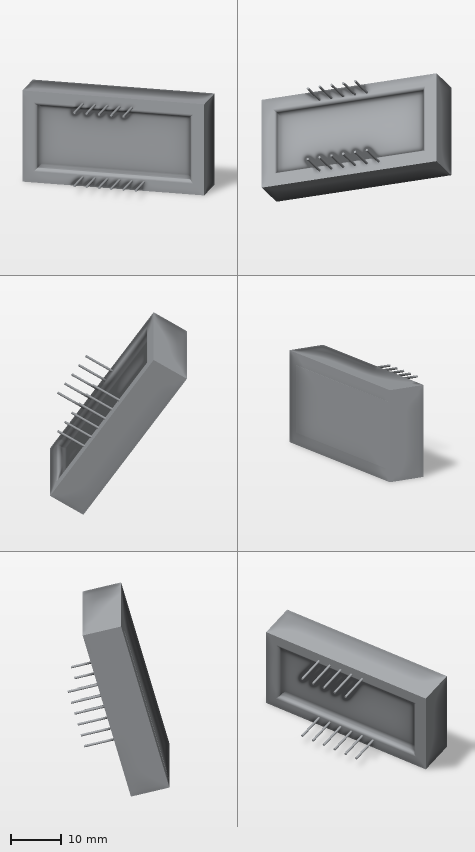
import cadquery as cq
import math

length = 37.6
height = 19.0
overall_depth = 14.35

plate_length = 34.45
plate_height = 13.9
plate_thickness = 0.055
plate_center_x = -0.95

recess_margin = 2.3
recess_depth = 1.5
rim_radius = 0.68

pin_diameter = 0.5
pin_length = 6.35
pin_row_span = 12.7
pin_row_height = 7.65
lower_pin_count = 6
upper_pin_count = 5

body_depth = overall_depth - pin_length - plate_thickness
recess_length = length - 2 * recess_margin
recess_height = height - 2 * recess_margin
pin_pitch = pin_row_span / (lower_pin_count - 1)
first_pin_x = -pin_row_span / 2


def recess_profile(plane, opening_width, extrusion):
    """Solid with the recess cross-section, extruded equally to both sides of the plane."""
    half_opening = opening_width / 2
    half_middle = half_opening - rim_radius
    half_floor = half_middle - rim_radius
    bend = rim_radius * math.sin(math.radians(45))
    outer_bend_depth = rim_radius - bend
    wall_end_depth = recess_depth - rim_radius
    inner_bend_depth = wall_end_depth + bend
    return (
        cq.Workplane(plane)
        .moveTo(-half_opening, 0)
        .threePointArc((-half_opening + bend, outer_bend_depth), (-half_middle, rim_radius))
        .lineTo(-half_middle, wall_end_depth)
        .threePointArc((-half_floor - bend, inner_bend_depth), (-half_floor, recess_depth))
        .lineTo(half_floor, recess_depth)
        .threePointArc((half_floor + bend, inner_bend_depth), (half_middle, wall_end_depth))
        .lineTo(half_middle, rim_radius)
        .threePointArc((half_opening - bend, outer_bend_depth), (half_opening, 0))
        .close()
        .extrude(extrusion / 2, both=True)
    )


def make_recess():
    """Pocket cutter; intersecting the two cross-sections gives mitred corners all around the rim."""
    across_length = recess_profile(cq.Plane.XY(), recess_length, height)
    across_height = recess_profile(
        cq.Plane(origin=(0, 0, 0), xDir=(0, 0, 1), normal=(-1, 0, 0)), recess_height, length
    )
    return across_length.intersect(across_height)


def make_pins(count, row_z):
    """Row of round pins pointing toward -Y from the recessed face."""
    positions = [(first_pin_x + i * pin_pitch, row_z) for i in range(count)]
    return cq.Workplane("XZ").pushPoints(positions).circle(pin_diameter / 2).extrude(pin_length)


body = cq.Workplane("XY").box(length, body_depth, height, centered=(True, False, True))
plate = (
    cq.Workplane("XY")
    .box(plate_length, plate_thickness, plate_height, centered=(True, False, True))
    .translate((plate_center_x, body_depth, 0))
)

result = (
    body.union(plate)
    .cut(make_recess())
    .union(make_pins(lower_pin_count, -pin_row_height))
    .union(make_pins(upper_pin_count, pin_row_height))
)